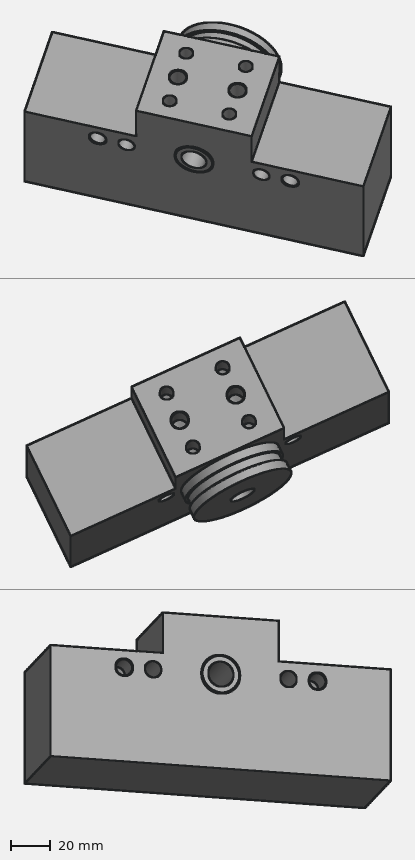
import cadquery as cq
import math

LENGTH = 176.0
DEPTH = 52.0
HEIGHT = 79.0
TOWER_WIDTH = 60.0
TOWER_RISE = 21.1
BASE_HEIGHT = HEIGHT - TOWER_RISE
AXIS_Z = HEIGHT - TOWER_WIDTH / 2

SHAFT_DIAMETER = 20.0
BORE_DIAMETER = 13.0
SHAFT_CHAMFER = 0.5
FLANGE_DIAMETER = 54.0
GROOVE_DIAMETER = 51.0
FLANGE_LENGTH = 15.1
GROOVE_WIDTH = FLANGE_LENGTH / 3

THROUGH_DIAMETER = 8.5
THROUGH_OFFSET = 35.0
FRONT_BLIND_OFFSET = 50.0

DRILL_TIP_ANGLE = 118.0
BLIND_DEPTH = 15.0
THREADED_DIAMETER = 8.5
THREADED_MOUTH = 9.2
DOWEL_DIAMETER = 6.9
TOP_HOLE_OFFSET = 15.5


def drill(diameter):
    """Drill with a conical tip, pointing down from the origin."""
    radius = diameter / 2
    tip_length = radius / math.tan(math.radians(DRILL_TIP_ANGLE / 2))
    profile = (
        cq.Workplane("XZ")
        .lineTo(radius, 0)
        .lineTo(radius, -BLIND_DEPTH)
        .lineTo(0, -BLIND_DEPTH - tip_length)
        .close()
    )
    return profile.revolve(360, (0, 0, 0), (0, 1, 0))


def make_threaded_drill():
    """Drill with a 45 degree countersink at the mouth."""
    countersink_depth = (THREADED_MOUTH - THREADED_DIAMETER) / 2
    countersink = (
        cq.Workplane("XY")
        .circle(THREADED_MOUTH / 2)
        .extrude(-countersink_depth, taper=45)
    )
    return drill(THREADED_DIAMETER).union(countersink)


def rear_cylinder(diameter, start, length):
    """Cylinder along +Y on the spigot axis, starting at Y = start."""
    return (
        cq.Workplane("XZ", origin=(0, start, AXIS_Z))
        .circle(diameter / 2)
        .extrude(-length)
    )


def make_block():
    base = cq.Workplane("XY").box(LENGTH, DEPTH, BASE_HEIGHT, centered=(True, False, False))
    tower = cq.Workplane("XY").box(TOWER_WIDTH, DEPTH, HEIGHT, centered=(True, False, False))
    block = base.union(tower)

    block = block.cut(rear_cylinder(SHAFT_DIAMETER, 0, DEPTH))

    threaded_drill = make_threaded_drill()
    dowel_drill = drill(DOWEL_DIAMETER)
    front_drill = threaded_drill.rotate((0, 0, 0), (1, 0, 0), 90)
    for side in (-1, 1):
        through_hole = rear_cylinder(THROUGH_DIAMETER, 0, DEPTH)
        block = block.cut(through_hole.translate((side * THROUGH_OFFSET, 0, 0)))
        block = block.cut(front_drill.translate((side * FRONT_BLIND_OFFSET, 0, AXIS_Z)))

        x = side * TOP_HOLE_OFFSET
        block = block.cut(threaded_drill.translate((x, DEPTH / 2, HEIGHT)))
        for row in (-1, 1):
            y = DEPTH / 2 + row * TOP_HOLE_OFFSET
            block = block.cut(dowel_drill.translate((x, y, HEIGHT)))
    return block


def make_spigot():
    shaft = rear_cylinder(SHAFT_DIAMETER, 0, DEPTH).faces("<Y").chamfer(SHAFT_CHAMFER)
    flange = rear_cylinder(FLANGE_DIAMETER, DEPTH, FLANGE_LENGTH)
    groove_start = DEPTH + (FLANGE_LENGTH - GROOVE_WIDTH) / 2
    groove = rear_cylinder(FLANGE_DIAMETER, groove_start, GROOVE_WIDTH).cut(
        rear_cylinder(GROOVE_DIAMETER, groove_start, GROOVE_WIDTH)
    )
    bore = rear_cylinder(BORE_DIAMETER, 0, DEPTH + FLANGE_LENGTH)
    return shaft.union(flange).cut(groove).cut(bore)


block = make_block()
spigot = make_spigot()
result = cq.Compound.makeCompound([block.val(), spigot.val()])